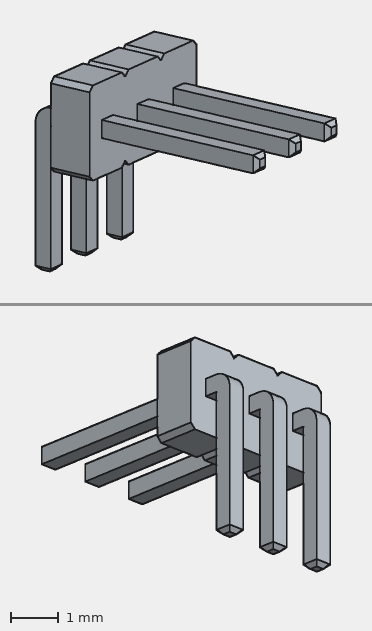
import cadquery as cq

pin_count = 3
total_length = 5.7
total_width = 3.81
total_height = 4.5
pitch = total_width / pin_count

body_start = 0.71
body_depth = 1.0
body_height = 2.1
body_chamfer = 0.12

pin_size = 0.4
bend_radius = pin_size
tip_chamfer = 0.1

pin_top = pin_size / 2
leg_bottom = body_height / 2 - total_height


def body_segment(y_center):
    """One pin's share of the body, its four long edges chamfered."""
    return (
        cq.Workplane("XY")
        .box(body_depth, pitch, body_height)
        .edges("|X")
        .chamfer(body_chamfer)
        .translate((body_start + body_depth / 2, y_center, 0))
    )


def bent_pin(y_center):
    """Right-angle pin with a rounded outer corner and tapered tips."""
    pin = (
        cq.Workplane("XZ")
        .moveTo(0, leg_bottom)
        .lineTo(0, pin_top)
        .lineTo(total_length, pin_top)
        .lineTo(total_length, -pin_top)
        .lineTo(pin_size, -pin_top)
        .lineTo(pin_size, leg_bottom)
        .close()
        .extrude(pin_size / 2, both=True)
    )
    pin = pin.faces("<X").edges(">Z").fillet(bend_radius)
    pin = pin.faces(">X").chamfer(tip_chamfer)
    pin = pin.faces("<Z").chamfer(tip_chamfer)
    return pin.translate((0, y_center, 0))


result = cq.Workplane("XY")
for index in range(pin_count):
    y_center = (index - (pin_count - 1) / 2) * pitch
    result = result.union(body_segment(y_center)).union(bent_pin(y_center))